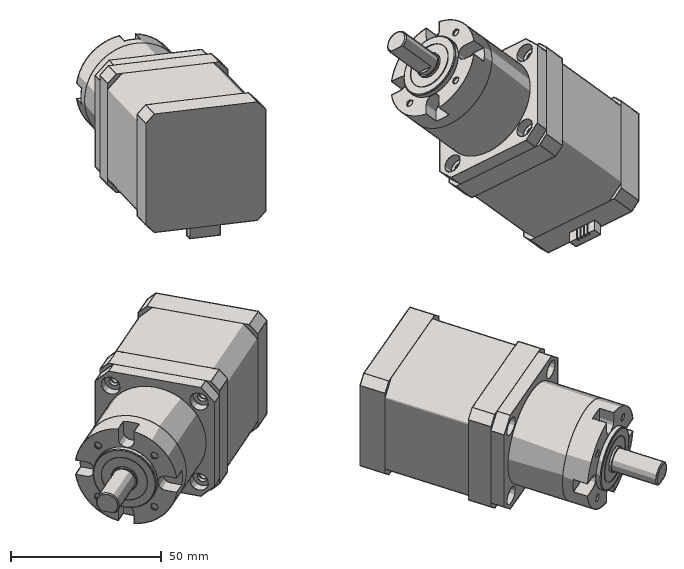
import cadquery as cq


flat_end = 14.9
collar_front = 16.5
boss_front = 17.1
cap_front = 18.9
ring_front = 28.0
flange_front = 47.9
front_cover_front = 52.8
stator_front = 61.0
rear_cover_front = 91.5
motor_back = 100.7

shaft_radius = 4.0
shaft_flat_height = 3.0
shaft_tip_chamfer = 0.4
collar_radius = 4.5

gearbox_diameter = 36.0
gearbox_radius = gearbox_diameter / 2
boss_radius = 11.1
boss_chamfer = 0.3
recess_radius = 8.1
recess_depth = 0.2
slot_width = 5.5
slot_depth = 5.1
slot_inner_reach = 11.2
face_hole_diameter = 2.5
face_hole_circle_radius = 14.0
face_hole_depth = 0.6
face_feature_count = 4

motor_width = 42.0
cover_chamfer = 3.0
flange_chamfer = 4.8
stator_chamfer = 5.0
stator_edge_radius = 1.1
screw_spacing = 31.0
screw_clearance_diameter = 3.4
counterbore_diameter = 6.4
counterbore_depth = 3.2
cover_thread_diameter = 3.0

connector_back = 99.8
connector_length = 3.2
connector_width = 10.7
connector_height = 4.0
contact_count = 4
contact_pitch = 1.5
contact_slot_width = 0.4
contact_slot_depth = 1.0


def cylinder(radius, x_start, x_end):
    """A cylinder about the X axis."""
    return cq.Workplane("YZ", origin=(x_start, 0, 0)).circle(radius).extrude(x_end - x_start)


def motor_block(x_start, x_end, corner_chamfer):
    """A square block about the X axis with its four long edges chamfered."""
    return (
        cq.Workplane("YZ", origin=(x_start, 0, 0))
        .rect(motor_width, motor_width)
        .extrude(x_end - x_start)
        .edges("|X")
        .chamfer(corner_chamfer)
    )


def screw_holes(diameter, x_start, x_end):
    """Four cylinders on the square screw pattern of the motor."""
    return (
        cq.Workplane("YZ", origin=(x_start, 0, 0))
        .rect(screw_spacing, screw_spacing, forConstruction=True)
        .vertices()
        .circle(diameter / 2)
        .extrude(x_end - x_start)
    )


def make_shaft():
    """Output shaft with a D-flat underneath, and a collar seated in the boss recess."""
    shaft = cylinder(shaft_radius, 0, ring_front).faces("<X").chamfer(shaft_tip_chamfer)
    flat_cut_height = shaft_radius - shaft_flat_height
    flat_cut = (
        cq.Workplane("XY", origin=(0, 0, -shaft_radius))
        .box(flat_end, 2 * shaft_radius, flat_cut_height, centered=(False, True, False))
    )
    collar = cylinder(collar_radius, collar_front, boss_front + recess_depth)
    return shaft.cut(flat_cut).union(collar)


def make_front_cap():
    """Gearbox front cap with pilot boss, radial slots, shallow holes and shaft bore."""
    cap = cylinder(gearbox_radius, cap_front, ring_front)
    boss = cylinder(boss_radius, boss_front, cap_front).faces("<X").chamfer(boss_chamfer)
    cap = cap.union(boss)
    cap = cap.cut(cylinder(recess_radius, boss_front, boss_front + recess_depth))
    cap = cap.cut(cylinder(shaft_radius, boss_front, ring_front))

    slot_length = 2 * (gearbox_radius - slot_inner_reach)
    slots = (
        cq.Workplane("YZ", origin=(cap_front, 0, 0))
        .polarArray(gearbox_radius, 0, 360, face_feature_count)
        .slot2D(slot_length, slot_width)
        .extrude(slot_depth)
    )
    cap = cap.cut(slots)

    first_hole_angle = 180 / face_feature_count
    face_holes = (
        cq.Workplane("YZ", origin=(cap_front, 0, 0))
        .polarArray(face_hole_circle_radius, first_hole_angle, 360, face_feature_count)
        .circle(face_hole_diameter / 2)
        .extrude(face_hole_depth)
    )
    return cap.cut(face_holes)


def make_ring_gear_housing():
    """Plain cylindrical gearbox housing."""
    return cylinder(gearbox_radius, ring_front, flange_front)


def make_flange():
    """Adapter flange with counterbored screw holes."""
    flange = motor_block(flange_front, front_cover_front, flange_chamfer)
    flange = flange.cut(screw_holes(screw_clearance_diameter, flange_front, front_cover_front))
    return flange.cut(
        screw_holes(counterbore_diameter, flange_front, flange_front + counterbore_depth)
    )


def make_front_cover():
    """Motor front cover with threaded screw holes through it."""
    cover = motor_block(front_cover_front, stator_front, cover_chamfer)
    return cover.cut(screw_holes(cover_thread_diameter, front_cover_front, stator_front))


def make_stator():
    """Stator stack, its chamfered corners rounded where they meet the sides."""
    stator = motor_block(stator_front, rear_cover_front, stator_chamfer)
    return stator.edges("|X").fillet(stator_edge_radius)


def make_rear_cover():
    """Motor rear cover."""
    return motor_block(rear_cover_front, motor_back, cover_chamfer)


def make_connector():
    """Connector block below the rear cover, with a row of contact slots in its front face."""
    connector_front = connector_back - connector_length
    connector_top = -motor_width / 2
    connector_bottom = connector_top - connector_height
    connector = (
        cq.Workplane("XY", origin=(connector_front, 0, connector_bottom))
        .box(connector_length, connector_width, connector_height, centered=(False, True, False))
    )
    for index in range(contact_count):
        slot_y = (index - (contact_count - 1) / 2) * contact_pitch
        contact_slot = (
            cq.Workplane("XY", origin=(connector_front, slot_y, connector_bottom))
            .box(contact_slot_depth, contact_slot_width, connector_height, centered=(False, True, False))
        )
        connector = connector.cut(contact_slot)
    return connector


shaft = make_shaft()
front_cap = make_front_cap()
ring_gear_housing = make_ring_gear_housing()
flange = make_flange()
front_cover = make_front_cover()
stator = make_stator()
rear_cover = make_rear_cover()
connector = make_connector()

result = cq.Compound.makeCompound(
    [
        shaft.val(),
        front_cap.val(),
        ring_gear_housing.val(),
        flange.val(),
        front_cover.val(),
        stator.val(),
        rear_cover.val(),
        connector.val(),
    ]
)